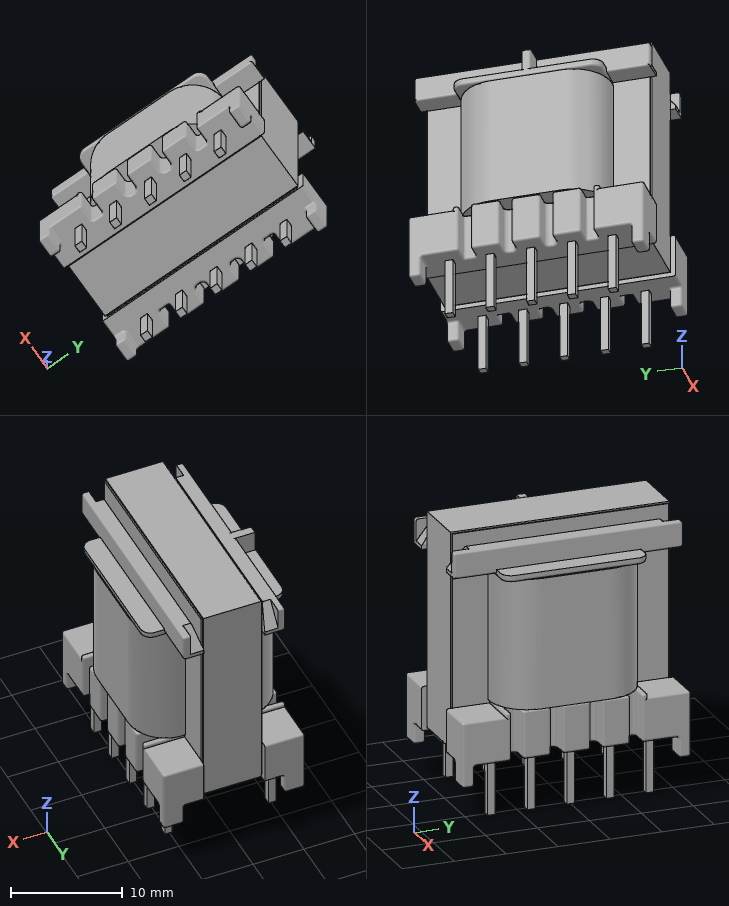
import cadquery as cq

core_thickness = 5.7
core_width = 21.1
core_bottom = 2.35
core_top = 23.06
core_step = 0.15

bobbin_depth = 13.9
bobbin_width = 22.0
inner_x = core_thickness / 2 + core_step
outer_x = bobbin_depth / 2
edge_radius = 0.25

base_bottom = 2.0
base_top = 6.25
saddle_top = 6.6
saddle_width = 13.7
saddle_edge_radius = 0.22
foot_depth = 2.0
foot_width = 1.15

slot_width = 1.15
slot_depth = 1.8
outer_slot_corner = 0.2
inner_slot_corner = 0.45

pin_size = 0.75
pin_pitch = 3.81
pin_x = 5.1
pin_tip = -3.5
pins_per_row = 5

winding_width = 14.0
winding_corner = 3.65

flange_width = 13.9
flange_bottom = 19.08
flange_top = 19.73
flange_corner = 1.0
bar_bottom = 19.36
bar_top = 21.82
bar_outer_x = 5.0
bar_slope_bottom = 19.8
bar_top_inner_x = 3.5
bar_edge_radius = 0.2
ramp_outer_x = 4.3
ramp_length = 1.67
rib_width = 0.85


def block(x_range, y_range, z_range):
    """Axis-aligned box between pairs of limits."""
    (x0, x1), (y0, y1), (z0, z1) = x_range, y_range, z_range
    return cq.Workplane("XY").box(x1 - x0, y1 - y0, z1 - z0, centered=False).translate((x0, y0, z0))


def centred(width):
    """Limits of a span of the given width about zero."""
    return (-width / 2, width / 2)


def row_positions(count):
    """Y positions of a centred row at the pin pitch."""
    return [(index - (count - 1) / 2) * pin_pitch for index in range(count)]


def mirrored(half):
    """Half-part on +X together with its mirror image on -X."""
    return half.union(half.mirror("YZ"))


def make_core():
    """Slab with a thin, slightly smaller raised panel on each broad face."""
    slab = block(centred(core_thickness), centred(core_width), (core_bottom, core_top))
    face_width = core_width - 2 * core_step
    faces = block((-inner_x, inner_x), centred(face_width), (core_bottom + core_step, core_top - core_step))
    return slab.union(faces)


def cut_slots(rail):
    """Cut vertical wire slots with rounded floor corners into the outer face of a rail."""
    for y in row_positions(pins_per_row - 1):
        slot_y = (y - slot_width / 2, y + slot_width / 2)
        slot = block((outer_x - slot_depth, outer_x), slot_y, (base_bottom, saddle_top))
        corner = inner_slot_corner if abs(y) < pin_pitch else outer_slot_corner
        rail = rail.cut(slot.edges("|Z and <X").fillet(corner))
    return rail


def slot_mouths(z_range):
    """Selector for the vertical slot edges on the outer face of a rail."""
    half_span = max(row_positions(pins_per_row - 1)) + slot_width
    return cq.selectors.BoxSelector(
        (outer_x - edge_radius / 2, -half_span, z_range[0]),
        (outer_x + edge_radius / 2, half_span, z_range[1]),
    )


def make_saddle():
    """Raised middle stretch of the rail that carries the winding."""
    saddle_bottom = base_bottom + edge_radius
    saddle = cut_slots(block((inner_x, outer_x), centred(saddle_width), (saddle_bottom, saddle_top)))
    mouths = slot_mouths((saddle_bottom + edge_radius, saddle_top - edge_radius))
    saddle = saddle.edges(mouths).fillet(edge_radius)
    return saddle.faces(">Z").edges("not <X").fillet(saddle_edge_radius)


def make_base_rail():
    """Slotted rail on the +X side with a foot at each end and the saddle on top."""
    rail = block((inner_x, outer_x), centred(bobbin_width), (base_bottom, base_top))
    foot_y = bobbin_width / 2 - foot_width
    for y_range in ((foot_y, bobbin_width / 2), (-bobbin_width / 2, -foot_y)):
        rail = rail.union(block((outer_x - foot_depth, outer_x), y_range, (0, base_bottom)))

    rail = cut_slots(rail)
    mouths = slot_mouths((base_bottom + edge_radius, base_top - edge_radius))
    rail = rail.edges(mouths).fillet(edge_radius)
    away_from_core = cq.selectors.BoxSelector(
        (inner_x + edge_radius, -bobbin_width, -edge_radius),
        (outer_x + edge_radius, bobbin_width, base_top + edge_radius),
    )
    slot_walls = cq.selectors.BoxSelector(
        (inner_x, -foot_y + edge_radius, base_bottom + edge_radius),
        (outer_x + edge_radius, foot_y - edge_radius, base_top - edge_radius),
    )
    return rail.edges(away_from_core - slot_walls).fillet(edge_radius).union(make_saddle())


def make_pins():
    row = cq.Workplane("XY")
    for y in row_positions(pins_per_row):
        pin = block(centred(pin_size), centred(pin_size), (pin_tip, base_bottom + pin_size))
        row = row.add(pin.translate((pin_x, y, 0)))
    return row.combine()


def make_winding():
    winding = block(centred(bobbin_depth), centred(winding_width), (saddle_top, flange_bottom))
    return winding.edges("|Z").fillet(winding_corner)


def make_flange():
    flange = block((inner_x, outer_x), centred(flange_width), (flange_bottom, flange_top))
    flange = flange.edges("|Z and >X").fillet(flange_corner)
    return flange.faces("<Z").edges("not <X").fillet(edge_radius)


def make_bar():
    """Bar along the flange, its inner side leaning away from the core, with a ramp at each end."""
    bar = (
        cq.Workplane("XZ")
        .moveTo(inner_x, bar_bottom)
        .lineTo(bar_outer_x, bar_bottom)
        .lineTo(bar_outer_x, bar_top)
        .lineTo(bar_top_inner_x, bar_top)
        .lineTo(inner_x, bar_slope_bottom)
        .close()
        .extrude(bobbin_width / 2, both=True)
    )
    bar = bar.faces(">X or >Z").edges().fillet(bar_edge_radius)
    end_y = bobbin_width / 2
    ramp = (
        cq.Workplane("YZ")
        .moveTo(end_y - ramp_length, bar_top)
        .lineTo(end_y, flange_top)
        .lineTo(end_y, bar_top)
        .close()
        .extrude(ramp_outer_x)
    )
    return bar.cut(ramp).cut(ramp.mirror("XZ"))


def make_rib():
    """Short rib joining the -X bar to the outer edge of its flange."""
    rib_root = -bar_outer_x + bar_edge_radius
    rib = block((-outer_x, rib_root), centred(rib_width), (flange_bottom + edge_radius, bar_top))
    return rib.edges("<X and (not <Z)").fillet(bar_edge_radius)


result = (
    make_core()
    .union(make_winding())
    .union(mirrored(make_base_rail()))
    .union(mirrored(make_pins()))
    .union(mirrored(make_flange()))
    .union(mirrored(make_bar()))
    .union(make_rib())
)